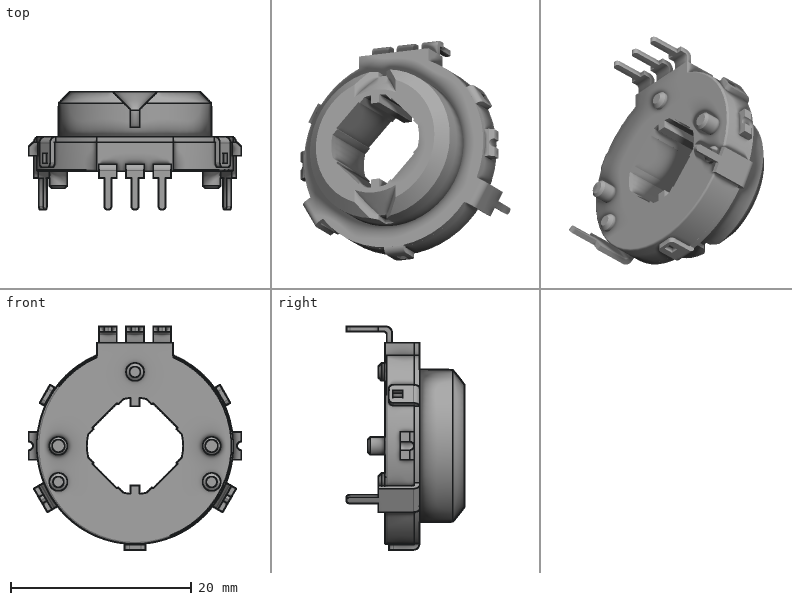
import cadquery as cq
import math


housing_radius = 10.9
housing_depth = 3.85
face_rounding = 0.2
block_width = 8.45
block_top = 11.46

hub_radius = 8.5
hub_back = 8.85
hub_chamfer = 1.3
groove_depth = 0.5
groove_slot_width = 1.0
groove_mouth_half_width = 2.5
groove_length = 3.97
groove_floor_chamfer = 2.1

bore_radius = 5.33
bore_flat_distance = 4.57
recess_flat_distance = 4.75
recess_width = 3.86
key_width = 1.0
key_tip_radius = 4.37

peg_radius = 1.0
peg_side_offset = 8.5
long_peg_length = 1.9
long_peg_chamfer = 0.3
short_peg_length = 0.75
short_peg_chamfer = 0.4
lower_peg_drop = 4.0
upper_peg_height = 8.2

ear_reach = 11.8
ear_width = 3.1
ear_length = 1.53
ear_chamfer = 0.5
ear_notch_radius = 0.47

sheet = 0.6
inner_bend = 0.3
outer_bend = 0.7
shoulder_y = -0.75
pin_tip_y = -4.27
pin_width = 0.8
pin_tip_radius = 0.39

terminal_pitch = 3.0
terminal_width = 2.0
terminal_top = 13.26
terminal_back_y = 0.8
terminal_root = 0.6

cover_front_y = housing_depth - sheet
tab_angles = (30, 150, 270)
tab_width = 2.33
tab_outer = 11.55
tab_clearance = tab_outer - sheet - housing_radius
tab_end_y = 0.45
tab_corner = 0.5
window_width = 0.85
window_front_y = 0.87
window_back_y = 1.99
leg_angles = (210, 330)
leg_width = 3.03
leg_outer = 12.1

root_radius = 9.5


def cylinder_y(radius, y_from, y_to, x=0, z=0):
    """Cylinder along Y between two Y positions."""
    axis_start = cq.Vector(x, y_from, z)
    solid = cq.Solid.makeCylinder(radius, y_to - y_from, axis_start, cq.Vector(0, 1, 0))
    return cq.Workplane(obj=solid)


def box_between(x_range, y_range, z_range):
    """Box given by its limits along X, Y and Z."""
    size = [limits[1] - limits[0] for limits in (x_range, y_range, z_range)]
    corner = (x_range[0], y_range[0], z_range[0])
    return cq.Workplane().box(*size, centered=False).translate(corner)


def turned(body, degrees):
    """Turn a body about the part axis, from +X towards +Z."""
    return body.rotate((0, 0, 0), (0, 1, 0), -degrees)


def outline_body(y_from, y_to):
    """Disc with the straight terminal block on its +Z side."""
    half_width = block_width / 2
    block = box_between((-half_width, half_width), (y_from, y_to), (0, block_top))
    return cylinder_y(housing_radius, y_from, y_to).union(block)


def bent_profile(root, outer, back_y, end_y, inner_radius):
    """Bent strip section, in (radial, Y): outwards from the root, then towards -Y."""
    inner = outer - sheet
    front_y = back_y - sheet
    outer_mid = outer_bend * (1 - math.sqrt(0.5))
    inner_mid = inner_radius * (1 - math.sqrt(0.5))
    return (
        cq.Workplane("XY")
        .moveTo(root, back_y)
        .lineTo(outer - outer_bend, back_y)
        .threePointArc((outer - outer_mid, back_y - outer_mid), (outer, back_y - outer_bend))
        .lineTo(outer, end_y)
        .lineTo(inner, end_y)
        .lineTo(inner, front_y - inner_radius)
        .threePointArc((inner - inner_mid, front_y - inner_mid), (inner - inner_radius, front_y))
        .lineTo(root, front_y)
        .close()
    )


def bent_strip(outer, end_y, width, inner_radius):
    """Strip of the cover centred on the +X direction, bent down from the ring."""
    profile = bent_profile(root_radius, outer, housing_depth, end_y, inner_radius)
    return profile.extrude(width / 2, both=True)


def contact_pin(outer):
    """Narrow pin with a rounded tip, running on from the shoulder of a bent strip."""
    half_width = pin_width / 2
    pin = box_between((outer - sheet, outer), (pin_tip_y, shoulder_y), (-half_width, half_width))
    return pin.edges("|X and <Y").fillet(pin_tip_radius)


def hub_blank():
    """Hub cylinder with a chamfered back rim."""
    return cylinder_y(hub_radius, 0, hub_back).faces(">Y").chamfer(hub_chamfer)


def pointer_groove():
    """Funnel-shaped groove cutter for the +Z side, with a floor that follows the hub."""
    slot_half = groove_slot_width / 2
    taper = groove_mouth_half_width - slot_half
    slot_end = hub_back - groove_length
    funnel = (
        cq.Workplane("XY")
        .moveTo(-slot_half, slot_end)
        .lineTo(slot_half, slot_end)
        .lineTo(slot_half, hub_back - taper)
        .lineTo(groove_mouth_half_width, hub_back)
        .lineTo(-groove_mouth_half_width, hub_back)
        .lineTo(-slot_half, hub_back - taper)
        .close()
        .extrude(hub_radius)
    )
    floor = cylinder_y(hub_radius - groove_depth, 0, hub_back).faces(">Y").chamfer(groove_floor_chamfer)
    return funnel.cut(floor)


def bore():
    """Round bore with four diagonal flats, a shallow recess in each flat and two keys."""
    flats = turned(
        box_between(
            (-bore_flat_distance, bore_flat_distance),
            (0, hub_back),
            (-bore_flat_distance, bore_flat_distance),
        ),
        45,
    )
    opening = cylinder_y(bore_radius, 0, hub_back).intersect(flats)
    for degrees in (45, 135):
        recess = box_between(
            (-recess_flat_distance, recess_flat_distance),
            (0, hub_back),
            (-recess_width / 2, recess_width / 2),
        )
        opening = opening.union(turned(recess, degrees))
    for degrees in (90, 270):
        key = box_between(
            (key_tip_radius, bore_radius),
            (0, hub_back),
            (-key_width / 2, key_width / 2),
        )
        opening = opening.cut(turned(key, degrees))
    return opening


def peg(x, z, length, chamfer):
    """Chamfered peg standing out of the mounting face."""
    return cylinder_y(peg_radius, -length, 0, x, z).faces("<Y").chamfer(chamfer)


def ear():
    """Ear on the +X side with a half-round notch in its outer edge."""
    half_width = ear_width / 2
    y_range = (cover_front_y - ear_length, cover_front_y)
    block = box_between((root_radius, ear_reach), y_range, (-half_width, half_width))
    block = block.edges(">X and >Y").chamfer(ear_chamfer)
    return block.cut(cylinder_y(ear_notch_radius, *y_range, x=ear_reach))


def terminal():
    """Bent terminal on the +X side, rooted in the block."""
    root = block_top - terminal_root
    profile = bent_profile(root, terminal_top, terminal_back_y, shoulder_y, inner_bend)
    blade = profile.extrude(terminal_width / 2, both=True)
    return blade.union(contact_pin(terminal_top))


def make_housing():
    """Housing body with its hub, bore, pegs, ears and terminals."""
    body = outline_body(0, cover_front_y)
    body = body.edges("%CIRCLE and <Y").fillet(face_rounding)
    body = body.union(hub_blank())
    for degrees in (0, 180):
        body = body.cut(turned(pointer_groove(), degrees))
    body = body.cut(bore())
    for side in (-1, 1):
        x = side * peg_side_offset
        body = body.union(peg(x, 0, long_peg_length, long_peg_chamfer))
        body = body.union(peg(x, -lower_peg_drop, short_peg_length, short_peg_chamfer))
    body = body.union(peg(0, upper_peg_height, short_peg_length, short_peg_chamfer))
    for degrees in (0, 180):
        body = body.union(turned(ear(), degrees))
    for position in (-1, 0, 1):
        placed = turned(terminal(), 90).translate((position * terminal_pitch, 0, 0))
        body = body.union(placed)
    return body


def cover_tab():
    """Tab with rounded corners and a window."""
    tab = bent_strip(tab_outer, tab_end_y, tab_width, tab_clearance)
    tab = tab.edges("|X and <Y").fillet(tab_corner)
    window = box_between(
        (root_radius, tab_outer),
        (window_front_y, window_back_y),
        (-window_width / 2, window_width / 2),
    )
    return tab.cut(window)


def cover_leg():
    """Wide leg that ends in a soldering pin."""
    leg = bent_strip(leg_outer, shoulder_y, leg_width, inner_bend)
    return leg.union(contact_pin(leg_outer))


def make_cover():
    """Sheet metal ring around the hub with its tabs and legs."""
    body = outline_body(cover_front_y, housing_depth)
    for degrees in tab_angles:
        body = body.union(turned(cover_tab(), degrees))
    for degrees in leg_angles:
        body = body.union(turned(cover_leg(), degrees))
    return body.cut(cylinder_y(hub_radius, 0, hub_back))


housing = make_housing()
cover = make_cover()

result = cq.Compound.makeCompound([*housing.solids().vals(), *cover.solids().vals()])